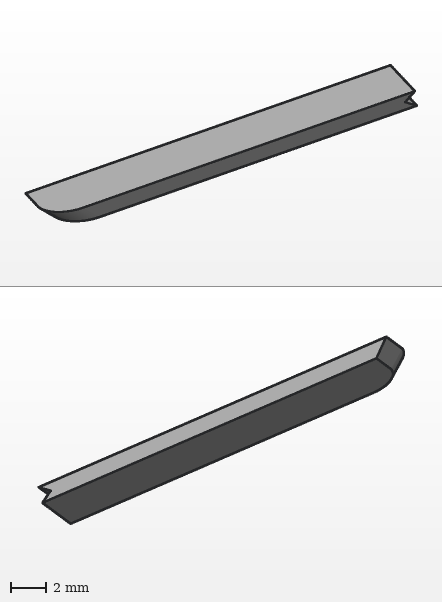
import math

import cadquery as cq

TOP_WIDTH = 3.787
LENGTH = 22.71
THICKNESS = 1.03
TILT = 25.3

RIGHT_RELIEF = 8.8
NOSE_RELIEF = 41.0

CORNER_RADIUS = 2.1
CORNER_WIDTH = 1.70

VEE_DEPTH = 0.67


def inset(relief_angle):
    """Distance a wall leans inward over the full plate thickness."""
    return THICKNESS * math.tan(math.radians(relief_angle))


def outline(workplane, left, right, nose):
    """Plate outline with one rounded nose corner."""
    full_angle = math.acos(1 - CORNER_WIDTH / CORNER_RADIUS)
    center_x = right - CORNER_RADIUS
    center_y = nose + CORNER_RADIUS * math.sin(full_angle)

    def on_corner(angle):
        return (
            center_x + CORNER_RADIUS * math.cos(angle),
            center_y - CORNER_RADIUS * math.sin(angle),
        )

    return (
        workplane.moveTo(left, nose)
        .lineTo(*on_corner(full_angle))
        .threePointArc(on_corner(full_angle / 2), on_corner(0))
        .lineTo(right, LENGTH)
        .lineTo(left, LENGTH)
        .close()
    )


def relieved_plate():
    """Plate whose right side and nose lean inward toward the bottom face."""
    bottom = outline(
        cq.Workplane("XY").workplane(offset=-THICKNESS),
        left=0,
        right=TOP_WIDTH - inset(RIGHT_RELIEF),
        nose=inset(NOSE_RELIEF),
    )
    both = outline(bottom.workplane(offset=THICKNESS), left=0, right=TOP_WIDTH, nose=0)
    return both.loft(ruled=True)


def tail_groove():
    """V groove over the full thickness of the tail, running across the width."""
    return (
        cq.Workplane("YZ")
        .moveTo(LENGTH, 0)
        .lineTo(LENGTH - VEE_DEPTH, -THICKNESS / 2)
        .lineTo(LENGTH, -THICKNESS)
        .close()
        .extrude(TOP_WIDTH)
    )


flat_plate = relieved_plate().cut(tail_groove())
result = flat_plate.rotate((0, 0, 0), (0, 1, 0), -TILT)